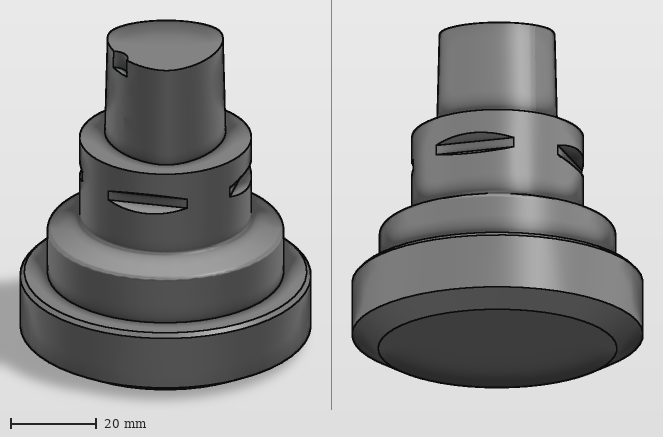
import cadquery as cq
import math

flange_radius = 67.7 / 2
flange_top = 17.2
bottom_chamfer_height = 3.4
bottom_chamfer_width = 6.1
flange_top_chamfer = 1.0
shoulder_radius = 55.0 / 2
shoulder_top = 28.6
shoulder_fillet = 1.15
neck_radius = 40.0 / 2
neck_base = 31.4
neck_fillet = 1.0
neck_top = 51.9
total_height = 76.0

shank_base_radius = 14.05
shank_taper = 1 / 20
lobe_height = 0.9
segment_count = 6
points_per_segment = 12

groove_count = 4
groove_first_angle = 45.0
groove_height = 44.0
groove_floor_distance = 17.6
groove_floor_width = 2.3
groove_wall_slope = 30.0

notch_radius = 3.8
notch_back = 10.95
notch_depth = 4.2


def make_body():
    profile = (
        cq.Workplane("XZ")
        .lineTo(flange_radius - bottom_chamfer_width, 0)
        .lineTo(flange_radius, bottom_chamfer_height)
        .lineTo(flange_radius, flange_top - flange_top_chamfer)
        .lineTo(flange_radius - flange_top_chamfer, flange_top)
        .lineTo(shoulder_radius, flange_top)
        .lineTo(shoulder_radius, shoulder_top)
        .lineTo(neck_radius, neck_base)
        .lineTo(neck_radius, neck_top)
        .lineTo(0, neck_top)
        .close()
    )
    body = profile.revolve(360, (0, 0, 0), (0, 1, 0))

    def rim(radius, height):
        tolerance = 0.1
        low = (-radius - tolerance, -radius - tolerance, height - tolerance)
        high = (radius + tolerance, radius + tolerance, height + tolerance)
        return cq.selectors.BoxSelector(low, high, boundingbox=True)

    body = body.edges(rim(shoulder_radius, shoulder_top)).fillet(shoulder_fillet)
    return body.edges(rim(neck_radius, neck_base)).fillet(neck_fillet)


def lobed_point(mean_radius, angle, height):
    """Point of the constant-width lobed curve; angle 0 is the lobe on +Y."""
    along_lobe = (
        mean_radius * math.cos(angle)
        + 2 * lobe_height * math.cos(2 * angle)
        - lobe_height * math.cos(4 * angle)
    )
    across_lobe = (
        mean_radius * math.sin(angle)
        - 2 * lobe_height * math.sin(2 * angle)
        - lobe_height * math.sin(4 * angle)
    )
    return cq.Vector(-across_lobe, along_lobe, height)


def lobed_wire(mean_radius, height):
    segment_angle = 2 * math.pi / segment_count
    edges = []
    for segment in range(segment_count):
        start = (segment - 0.5) * segment_angle
        points = [
            lobed_point(mean_radius, start + step * segment_angle / points_per_segment, height)
            for step in range(points_per_segment + 1)
        ]
        tangents = [
            cq.Vector(-math.cos(angle), -math.sin(angle), 0)
            for angle in (start, start + segment_angle)
        ]
        edges.append(cq.Edge.makeSpline(points, tangents=tangents))
    return cq.Wire.assembleEdges(edges)


def make_shank():
    shank_top_radius = shank_base_radius - (total_height - neck_top) * shank_taper / 2
    base = lobed_wire(shank_base_radius, neck_top)
    top = lobed_wire(shank_top_radius, total_height)
    return cq.Workplane(cq.Solid.makeLoft([base, top], True))


def make_groove(angle):
    outer_distance = neck_radius + 0.75
    depth = outer_distance - groove_floor_distance
    floor_half = groove_floor_width / 2
    mouth_half = floor_half + depth * math.tan(math.radians(groove_wall_slope))
    section = (
        cq.Workplane("XZ")
        .moveTo(groove_floor_distance, groove_height - floor_half)
        .lineTo(outer_distance, groove_height - mouth_half)
        .lineTo(outer_distance, groove_height + mouth_half)
        .lineTo(groove_floor_distance, groove_height + floor_half)
        .close()
    )
    return section.extrude(neck_radius, both=True).rotate((0, 0, 0), (0, 0, 1), angle)


def make_notch():
    return (
        cq.Workplane("XY", origin=(0, -notch_back - notch_radius, total_height - notch_depth))
        .circle(notch_radius)
        .extrude(notch_depth)
    )


result = make_body().union(make_shank())
for index in range(groove_count):
    result = result.cut(make_groove(groove_first_angle + index * 360 / groove_count))
result = result.cut(make_notch())